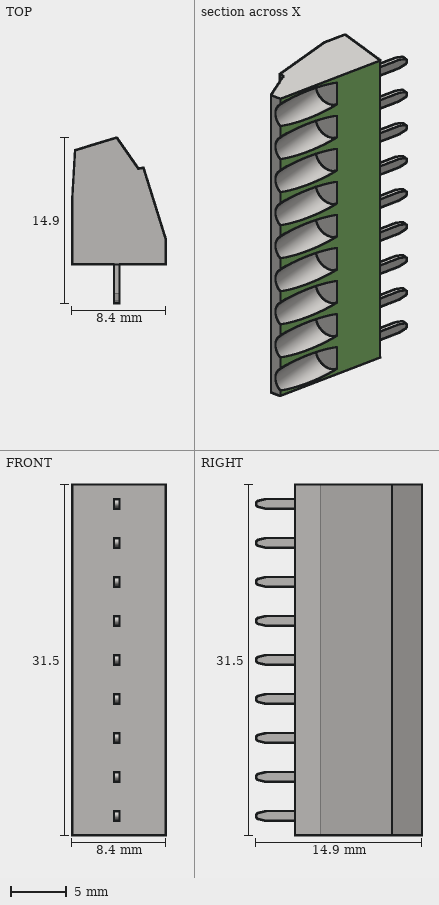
import cadquery as cq

POLE_COUNT = 9
PITCH = 3.5
BODY_LENGTH = POLE_COUNT * PITCH
BODY_WIDTH = 8.4
BODY_HEIGHT = 11.4

RIDGE_X = 4.0
FRONT_WALL_Y = 6.0
SHOULDER_X = 0.25
SHOULDER_Y = 10.25
NOTCH_X = 5.95
NOTCH_Y = 8.6
LIP_X = 6.4
LIP_Y = 8.7
BACK_WALL_Y = 2.3

ENTRY_DIAMETER = 2.9
ENTRY_DEPTH = 6.0

PIN_X = RIDGE_X
PIN_LENGTH = 3.5
PIN_THICKNESS = 0.5
PIN_WIDTH = 0.9
PIN_TIP_LENGTH = 0.9
PIN_TIP_WIDTH = 0.6
PIN_TIP_ROUND_LENGTH = 0.27
PIN_EMBED = 0.5


def pole_heights():
    """Z of each pole, counted from the lower end of the housing."""
    return [(index + 0.5) * PITCH for index in range(POLE_COUNT)]


def make_housing():
    """Prism with a sloped top, running along Z."""
    return (
        cq.Workplane("XY")
        .polyline(
            [
                (0, 0),
                (BODY_WIDTH, 0),
                (BODY_WIDTH, BACK_WALL_Y),
                (LIP_X, LIP_Y),
                (NOTCH_X, NOTCH_Y),
                (RIDGE_X, BODY_HEIGHT),
                (SHOULDER_X, SHOULDER_Y),
                (0, FRONT_WALL_Y),
            ]
        )
        .close()
        .extrude(BODY_LENGTH)
    )


def make_wire_entry(z):
    """Blind round hole, drilled square to the sloping face."""
    slope_run = RIDGE_X - SHOULDER_X
    slope_rise = BODY_HEIGHT - SHOULDER_Y
    center = cq.Vector(SHOULDER_X + slope_run / 2, SHOULDER_Y + slope_rise / 2, z)
    inward = cq.Vector(slope_rise, -slope_run, 0)
    return cq.Solid.makeCylinder(ENTRY_DIAMETER / 2, ENTRY_DEPTH, center, inward)


def make_pin(z):
    """Flat pin pointing along -Y, tapered and rounded at its tip."""
    half_width = PIN_WIDTH / 2
    half_tip = PIN_TIP_WIDTH / 2
    taper_y = PIN_TIP_LENGTH - PIN_LENGTH
    round_y = PIN_TIP_ROUND_LENGTH - PIN_LENGTH
    return (
        cq.Workplane("YZ", origin=(PIN_X, 0, z))
        .moveTo(PIN_EMBED, half_width)
        .lineTo(taper_y, half_width)
        .lineTo(round_y, half_tip)
        .threePointArc((-PIN_LENGTH, 0), (round_y, -half_tip))
        .lineTo(taper_y, -half_width)
        .lineTo(PIN_EMBED, -half_width)
        .close()
        .extrude(PIN_THICKNESS / 2, both=True)
    )


result = make_housing()
for pole_z in pole_heights():
    result = result.cut(make_wire_entry(pole_z))
    result = result.union(make_pin(pole_z))